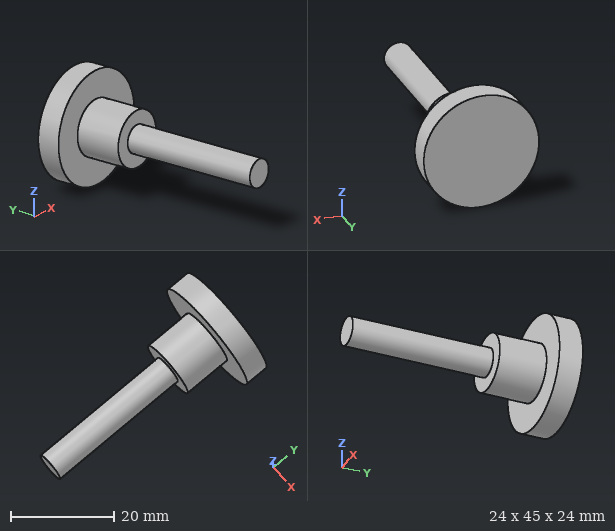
import cadquery as cq

total_length = 45.0
head_diameter = 24.0
collar_diameter = head_diameter / 2
pin_diameter = collar_diameter / 2
head_thickness = total_length / 9
collar_length = 2 * head_thickness
pin_length = total_length - head_thickness - collar_length


def disc(diameter, length, back_y):
    """Cylinder on the Y axis reaching from back_y toward -Y."""
    return cq.Workplane("XZ", origin=(0, back_y, 0)).circle(diameter / 2).extrude(length)


head = disc(head_diameter, head_thickness, 0)
collar = disc(collar_diameter, collar_length, -head_thickness)
pin = disc(pin_diameter, pin_length, -(head_thickness + collar_length))

result = head.union(collar).union(pin)